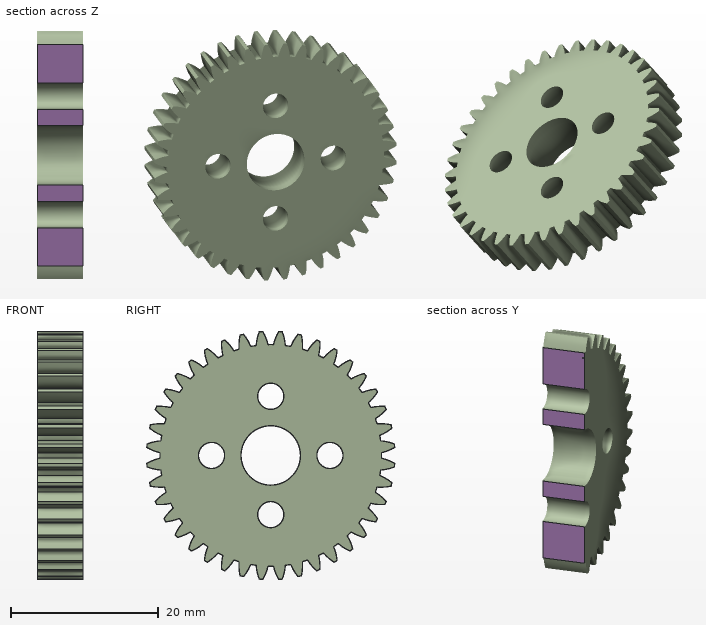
import cadquery as cq
import math

MODULE = 0.8
TOOTH_COUNT = 40
DEDENDUM_FACTOR = 1.25
FACE_WIDTH = 6.2

ROOT_THICKNESS = 1.64
PITCH_THICKNESS = 1.15
TIP_THICKNESS = 0.49

BORE_DIAMETER = 8.0
BOLT_HOLE_DIAMETER = 3.5
BOLT_CIRCLE_DIAMETER = 16.0
BOLT_HOLE_COUNT = 4

pitch_radius = MODULE * TOOTH_COUNT / 2
tip_radius = pitch_radius + MODULE
root_radius = pitch_radius - DEDENDUM_FACTOR * MODULE
tooth_pitch = 2 * math.pi / TOOTH_COUNT

root_half_angle = ROOT_THICKNESS / (2 * root_radius)
pitch_half_angle = PITCH_THICKNESS / (2 * pitch_radius)
tip_half_angle = TIP_THICKNESS / (2 * tip_radius)


def polar(radius, angle):
    return radius * math.cos(angle), radius * math.sin(angle)


def add_tooth(outline, center):
    """Append one tooth, with arc flanks and a round tip, and the root arc after it."""
    next_center = center + tooth_pitch
    rising_pitch = polar(pitch_radius, center - pitch_half_angle)
    rising_tip = polar(tip_radius, center - tip_half_angle)
    tip_middle = polar(tip_radius, center)
    falling_tip = polar(tip_radius, center + tip_half_angle)
    falling_pitch = polar(pitch_radius, center + pitch_half_angle)
    falling_root = polar(root_radius, center + root_half_angle)
    gap_middle = polar(root_radius, center + tooth_pitch / 2)
    next_root = polar(root_radius, next_center - root_half_angle)
    return (
        outline.threePointArc(rising_pitch, rising_tip)
        .threePointArc(tip_middle, falling_tip)
        .threePointArc(falling_pitch, falling_root)
        .threePointArc(gap_middle, next_root)
    )


def gear_blank():
    """Toothed disc along +X, with tooth gaps centred on the Y and Z axes."""
    first_center = tooth_pitch / 2
    start = polar(root_radius, first_center - root_half_angle)
    outline = cq.Workplane("YZ").moveTo(*start)
    for tooth in range(TOOTH_COUNT):
        outline = add_tooth(outline, first_center + tooth * tooth_pitch)
    return outline.close().extrude(FACE_WIDTH)


def central_bore():
    return cq.Workplane("YZ").circle(BORE_DIAMETER / 2).extrude(FACE_WIDTH)


def bolt_holes():
    """Ring of holes on the Y and Z axes."""
    return (
        cq.Workplane("YZ")
        .polarArray(BOLT_CIRCLE_DIAMETER / 2, 0, 360, BOLT_HOLE_COUNT)
        .circle(BOLT_HOLE_DIAMETER / 2)
        .extrude(FACE_WIDTH)
    )


result = gear_blank().cut(central_bore()).cut(bolt_holes())